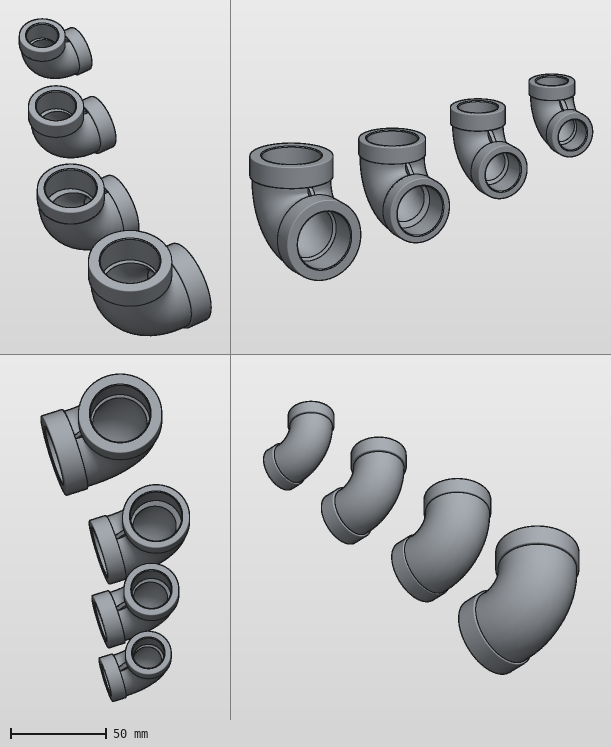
import cadquery as cq
import math

EDGE_FILLET = 0.5
MOUTH_CHAMFER = 0.5
SOCKET_TIP_ANGLE = 118.0

ELBOWS = [
    dict(
        corner=(-138.8, 30.5, 42.4), reach=23.5,
        collar_length=7.5, collar_radius=12.1, straight_length=8.0,
        body_radius=11.2, bore_radius=7.3, socket_radius=8.3, socket_depth=11.2,
        rib_width=2.6,
    ),
    dict(
        corner=(-102.2, 16.6, 24.7), reach=28.4,
        collar_length=9.2, collar_radius=14.5, straight_length=10.5,
        body_radius=13.3, bore_radius=8.8, socket_radius=10.4, socket_depth=13.7,
        rib_width=2.2,
    ),
    dict(
        corner=(-60.0, 0.0, 6.0), reach=31.5,
        collar_length=9.2, collar_radius=17.6, straight_length=11.0,
        body_radius=17.0, bore_radius=11.0, socket_radius=13.5, socket_depth=15.0,
        rib_width=2.2,
    ),
    dict(
        corner=(0.0, 0.0, 0.0), reach=36.8,
        collar_length=11.8, collar_radius=22.0, straight_length=14.7,
        body_radius=20.7, bore_radius=14.2, socket_radius=15.7, socket_depth=16.5,
        rib_width=2.2,
    ),
]


def revolved_about_z(points):
    """Solid of revolution about Z from (radius, height) points."""
    return cq.Workplane("XZ").polyline(points).close().revolve(360, (0, 0), (0, 1))


def on_both_ports(upright):
    """A round shape on the +Z port joined with its twin on the +Y port."""
    return upright.union(upright.rotate((0, 0, 0), (1, 0, 0), -90))


def bend(size, radius):
    """Quarter-torus that joins the two port axes."""
    bend_radius = size["reach"] - size["straight_length"]
    return (
        cq.Workplane("XY", origin=(0, 0, bend_radius))
        .circle(radius)
        .revolve(90, (0, bend_radius), (1, bend_radius))
    )


def port(size):
    """Collar with rounded edges and the short straight pipe behind it."""
    face = size["reach"]
    underside = face - size["collar_length"]
    bend_start = face - size["straight_length"]
    outer = size["collar_radius"]
    shoulder = outer - EDGE_FILLET
    return (
        cq.Workplane("XZ")
        .moveTo(0, bend_start)
        .lineTo(size["body_radius"], bend_start)
        .lineTo(size["body_radius"], underside)
        .lineTo(shoulder, underside)
        .radiusArc((outer, underside + EDGE_FILLET), -EDGE_FILLET)
        .lineTo(outer, face - EDGE_FILLET)
        .radiusArc((shoulder, face), -EDGE_FILLET)
        .lineTo(0, face)
        .close()
        .revolve(360, (0, 0), (0, 1))
    )


def socket(size):
    """Recess in a port face: chamfered mouth, round wall and conical bottom."""
    face = size["reach"]
    radius = size["socket_radius"]
    wall_end = face - size["socket_depth"]
    tip_depth = radius / math.tan(math.radians(SOCKET_TIP_ANGLE / 2))
    return revolved_about_z([
        (0, wall_end - tip_depth),
        (radius, wall_end),
        (radius, face - MOUTH_CHAMFER),
        (radius + MOUTH_CHAMFER, face),
        (0, face),
    ])


def straight_bore(size):
    """Bore of the straight pipe between a port face and the bend."""
    bend_start = size["reach"] - size["straight_length"]
    return (
        cq.Workplane("XY", origin=(0, 0, bend_start))
        .circle(size["bore_radius"])
        .extrude(size["straight_length"])
    )


def solid_elbow(size):
    """Outside shape of the elbow, without its passage."""
    return bend(size, size["body_radius"]).union(on_both_ports(port(size)))


def make_elbow(size):
    """Elbow with a bent passage and a socket in each port."""
    passage = bend(size, size["bore_radius"]).union(on_both_ports(straight_bore(size)))
    return solid_elbow(size).cut(passage).cut(on_both_ports(socket(size)))


def make_rib(size):
    """Gusset across the inner corner, from one collar underside to the other."""
    surface = size["body_radius"]
    underside = size["reach"] - size["collar_length"]
    return (
        cq.Workplane("YZ")
        .polyline([(surface, underside), (underside, surface), (0, 0)])
        .close()
        .extrude(size["rib_width"] / 2, both=True)
        .cut(solid_elbow(size))
    )


bodies = []
for size in ELBOWS:
    for body in (make_elbow(size), make_rib(size)):
        bodies.append(body.translate(size["corner"]).val())

result = cq.Compound.makeCompound(bodies)